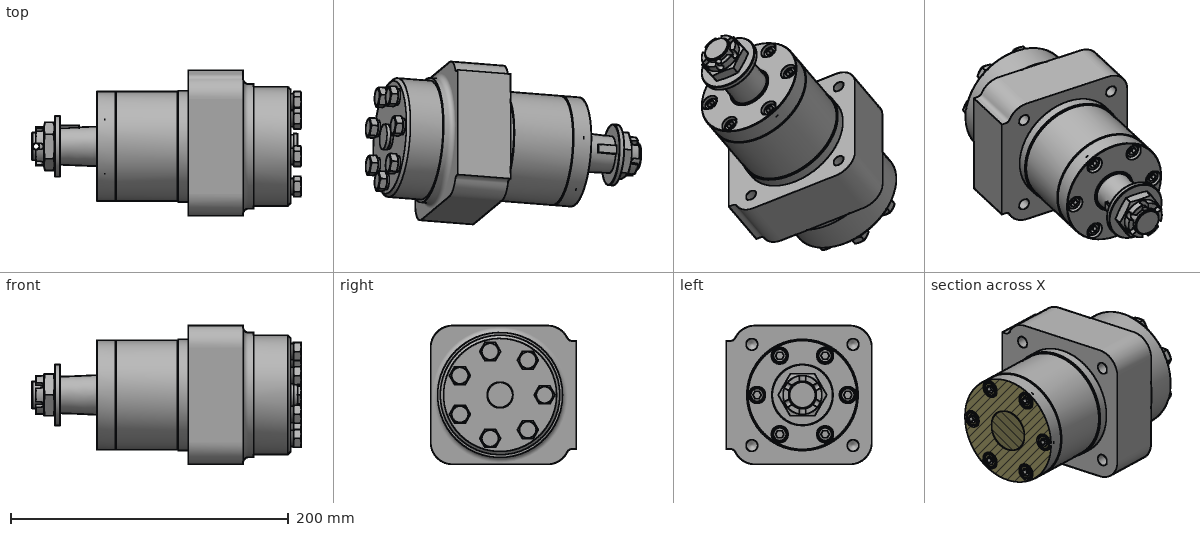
import cadquery as cq
import math


NUT_START = 3.1
NUT_HEX_START = 8.7
NUT_END = 16.7
WASHER_END = 20.5
TAPER_END = 44.5
HOUSING_START = 46.8
FRONT_GROOVE = 60.6
COLLAR_START = 105.5
FLANGE_START = 112.7
FLANGE_END = 152.3
NECK_START = 156.2
NECK_END = 159.9
HOUSING_END = 186.7
BOLT_HEX_START = 188.2
OVERALL_LENGTH = 194.3

SHAFT_D = 28.5
SHAFT_SMALL_D = 26.6
SHOULDER_D = 29.5
SHOULDER_SETBACK = 0.4
SHAFT_DEPTH = 13.6
THREAD_D = 20.0
TIP_CHAMFER = 0.8
COTTER_HOLE_D = 4.5
COTTER_HOLE_X = 3.3

KEY_WIDTH = 6.0
KEY_END = 34.2
KEY_BOTTOM_Y = 9.7
KEY_TOP_Y = 15.2

NUT_CORNER_D = 35.0
CASTLE_D = 28.0
NUT_CHAMFER = 1.0
SLOT_WIDTH = 4.5
SLOT_END = 8.5
SLOT_COUNT = 6
WASHER_D = 44.1
WASHER_CHAMFER = 0.4

BARREL_D = 79.0
BARREL_CHAMFER = 0.4
GROOVE_WIDTH = 0.5
GROOVE_DEPTH = 0.4
COLLAR_D = 80.2
SEAL_RECESS_D = 35.0
SEAL_RECESS_FLOOR_D = 31.5
SEAL_RECESS_SLOPE_DEPTH = 0.4
SEAL_RECESS_DEPTH = 1.0

NECK_ROOT_D = 97.1
NECK_D = 90.0
REAR_D = 86.0
REAR_CHAMFER = 2.3

FLANGE_SIZE = 100.0
FLANGE_CORNER_R = 16.0
PAD_Y = 55.0
PAD_WIDTH = 77.9
PAD_FILLET_R = 3.9
FLANGE_HOLE_D = 8.4
FLANGE_HOLE_DEPTH = 15.5
FLANGE_HOLE_CIRCLE_D = 103.0
DRILL_POINT_ANGLE = 118.0

SCREW_COUNT = 6
SCREW_CIRCLE_R = 32.6
SCREW_RECESS_D = 12.0
SCREW_RECESS_DEPTH = 5.8
SCREW_HEAD_D = 10.0
SCREW_HEAD_SETBACK = 1.7
SCREW_HEAD_CHAMFER = 0.4
SOCKET_ACROSS_FLATS = 5.2
SOCKET_DEPTH = 3.9

BOLT_COUNT = 7
BOLT_CIRCLE_R = 32.0
BOLT_ACROSS_FLATS = 13.0
BOLT_FACE_D = 11.9
BOLT_CHAMFER = 0.8
PLUG_NECK_D = 17.0
PLUG_D = 18.6
PLUG_END_D = 18.0
PLUG_HEAD_START = 188.6
PLUG_TAPER_START = 190.4
PLUG_END = 191.5

HEX_CORNER_RATIO = 1 / math.cos(math.radians(30))


def cylinder(x_start, x_end, diameter, y=0.0, z=0.0):
    """Cylinder along X."""
    return cq.Workplane("YZ", origin=(x_start, y, z)).circle(diameter / 2).extrude(x_end - x_start)


def hexagon(x_start, x_end, corner_diameter, y=0.0, z=0.0):
    """Hexagonal prism along X with corners toward +Y and -Y."""
    return cq.Workplane("YZ", origin=(x_start, y, z)).polygon(6, corner_diameter).extrude(x_end - x_start)


def turned(profile, y=0.0, z=0.0):
    """Solid of revolution from (x, diameter) stations."""
    outline = [(profile[0][0], 0)]
    outline += [(x, diameter / 2) for x, diameter in profile]
    if profile[-1][1] > 0:
        outline.append((profile[-1][0], 0))
    solid = cq.Workplane("XY").polyline(outline).close().revolve(360, (0, 0, 0), (1, 0, 0))
    return solid.translate((0, y, z))


def circle_places(count, radius, start_angle=0.0):
    """(y, z) places spread evenly on a circle around the axis, counted from +Y."""
    angles = [math.radians(start_angle + 360 / count * i) for i in range(count)]
    return [(radius * math.cos(a), radius * math.sin(a)) for a in angles]


def key_block():
    length = KEY_END - WASHER_END
    height = KEY_TOP_Y - KEY_BOTTOM_Y
    return (
        cq.Workplane("XY")
        .box(length, height, KEY_WIDTH, centered=(False, False, True))
        .translate((WASHER_END, KEY_BOTTOM_Y, 0))
    )


def make_shaft():
    body = turned([
        (0, THREAD_D - 2 * TIP_CHAMFER),
        (TIP_CHAMFER, THREAD_D),
        (WASHER_END, THREAD_D),
        (WASHER_END, SHAFT_SMALL_D),
        (TAPER_END, SHAFT_D),
        (HOUSING_START + SHOULDER_SETBACK, SHAFT_D),
        (HOUSING_START + SHOULDER_SETBACK, SHOULDER_D),
        (HOUSING_START + SHAFT_DEPTH, SHOULDER_D),
    ])
    cotter_hole = (
        cq.Workplane("XY")
        .center(COTTER_HOLE_X, 0)
        .circle(COTTER_HOLE_D / 2)
        .extrude(THREAD_D, both=True)
    )
    return body.cut(cotter_hole).cut(key_block())


def make_nut():
    envelope = turned([
        (NUT_HEX_START, CASTLE_D),
        (NUT_HEX_START + NUT_CHAMFER, NUT_CORNER_D),
        (NUT_END - NUT_CHAMFER, NUT_CORNER_D),
        (NUT_END, CASTLE_D),
    ])
    hex_part = hexagon(NUT_HEX_START, NUT_END, NUT_CORNER_D).intersect(envelope)
    nut = hex_part.union(cylinder(NUT_START, NUT_HEX_START, CASTLE_D))
    nut = nut.cut(cylinder(NUT_START, NUT_END, THREAD_D))
    slot_centre = SLOT_END - SLOT_WIDTH / 2
    slot = (
        cq.Workplane("XY")
        .moveTo(NUT_START, -SLOT_WIDTH / 2)
        .lineTo(slot_centre, -SLOT_WIDTH / 2)
        .threePointArc((SLOT_END, 0), (slot_centre, SLOT_WIDTH / 2))
        .lineTo(NUT_START, SLOT_WIDTH / 2)
        .close()
        .extrude(CASTLE_D)
    )
    for i in range(SLOT_COUNT):
        nut = nut.cut(slot.rotate((0, 0, 0), (1, 0, 0), 360 / SLOT_COUNT * i))
    return nut


def make_washer():
    disc = cylinder(NUT_END, WASHER_END, WASHER_D).edges().chamfer(WASHER_CHAMFER)
    return disc.cut(cylinder(NUT_END, WASHER_END, THREAD_D))


def flange():
    """Plate with four rounded corners and a pad on +Y, joined to two of them by hollow fillets."""
    half = FLANGE_SIZE / 2
    centre = half - FLANGE_CORNER_R
    half_pad = PAD_WIDTH / 2
    centre_distance = FLANGE_CORNER_R + PAD_FILLET_R
    fillet_z = half_pad + PAD_FILLET_R
    fillet_y = centre + math.sqrt(centre_distance**2 - (fillet_z - centre) ** 2)
    touch_ratio = FLANGE_CORNER_R / centre_distance
    touch_y = centre + touch_ratio * (fillet_y - centre)
    touch_z = centre + touch_ratio * (fillet_z - centre)
    upper_half = (
        cq.Workplane("YZ", origin=(FLANGE_START, 0, 0))
        .moveTo(-half, 0)
        .lineTo(-half, centre)
        .tangentArcPoint((-centre, half), relative=False)
        .lineTo(centre, half)
        .tangentArcPoint((touch_y, touch_z), relative=False)
        .tangentArcPoint((fillet_y, half_pad), relative=False)
        .lineTo(PAD_Y, half_pad)
        .lineTo(PAD_Y, 0)
        .close()
        .extrude(FLANGE_END - FLANGE_START)
    )
    return upper_half.union(upper_half.mirror("XY"))


def flange_hole(y, z):
    """Blind hole with a drill point, opening in the front face of the flange."""
    bottom = FLANGE_START + FLANGE_HOLE_DEPTH
    point = FLANGE_HOLE_D / 2 / math.tan(math.radians(DRILL_POINT_ANGLE / 2))
    return turned([(FLANGE_START, FLANGE_HOLE_D), (bottom, FLANGE_HOLE_D), (bottom + point, 0)], y, z)


def ring_groove(x_centre, diameter):
    start = x_centre - GROOVE_WIDTH / 2
    end = x_centre + GROOVE_WIDTH / 2
    return cylinder(start, end, diameter + 2).cut(cylinder(start, end, diameter - 2 * GROOVE_DEPTH))


def barrel():
    body = turned([
        (HOUSING_START, BARREL_D - 2 * BARREL_CHAMFER),
        (HOUSING_START + BARREL_CHAMFER, BARREL_D),
        (COLLAR_START, BARREL_D),
        (COLLAR_START, COLLAR_D),
        (FLANGE_START, COLLAR_D),
    ])
    body = body.cut(ring_groove(FRONT_GROOVE, BARREL_D))
    return body.cut(ring_groove(COLLAR_START - GROOVE_WIDTH / 2, BARREL_D))


def rear_end():
    """Turned stretch behind the flange, starting with a hollow flare."""
    bend = 1 - math.sqrt(0.5)
    flare_mid_x = FLANGE_END + bend * (NECK_START - FLANGE_END)
    flare_mid_r = (NECK_D + bend * (NECK_ROOT_D - NECK_D)) / 2
    return (
        cq.Workplane("XY")
        .moveTo(FLANGE_END, 0)
        .lineTo(FLANGE_END, NECK_ROOT_D / 2)
        .threePointArc((flare_mid_x, flare_mid_r), (NECK_START, NECK_D / 2))
        .lineTo(NECK_END, NECK_D / 2)
        .lineTo(NECK_END, REAR_D / 2)
        .lineTo(HOUSING_END - REAR_CHAMFER, REAR_D / 2)
        .lineTo(HOUSING_END, REAR_D / 2 - REAR_CHAMFER)
        .lineTo(HOUSING_END, 0)
        .close()
        .revolve(360, (0, 0, 0), (1, 0, 0))
    )


def screw_head(y, z):
    top = HOUSING_START + SCREW_HEAD_SETBACK
    head = turned([
        (top, SCREW_HEAD_D - 2 * SCREW_HEAD_CHAMFER),
        (top + SCREW_HEAD_CHAMFER, SCREW_HEAD_D),
        (HOUSING_START + SCREW_RECESS_DEPTH, SCREW_HEAD_D),
    ], y, z)
    return head.cut(hexagon(top, top + SOCKET_DEPTH, SOCKET_ACROSS_FLATS * HEX_CORNER_RATIO, y, z))


def screw_recess(y, z):
    return cylinder(HOUSING_START, HOUSING_START + SCREW_RECESS_DEPTH, SCREW_RECESS_D, y, z)


def bolt_head(y, z):
    corner_d = BOLT_ACROSS_FLATS * HEX_CORNER_RATIO
    envelope = turned([
        (BOLT_HEX_START, BOLT_FACE_D),
        (BOLT_HEX_START + BOLT_CHAMFER, corner_d),
        (OVERALL_LENGTH - BOLT_CHAMFER, corner_d),
        (OVERALL_LENGTH, BOLT_FACE_D),
    ], y, z)
    head = hexagon(BOLT_HEX_START, OVERALL_LENGTH, corner_d, y, z).intersect(envelope)
    return head.union(cylinder(HOUSING_END, BOLT_HEX_START, BOLT_FACE_D, y, z))


def plug():
    return turned([
        (HOUSING_END, PLUG_NECK_D),
        (PLUG_HEAD_START, PLUG_NECK_D),
        (PLUG_HEAD_START, PLUG_D),
        (PLUG_TAPER_START, PLUG_D),
        (PLUG_END, PLUG_END_D),
    ])


def make_housing():
    housing = flange().union(barrel()).union(rear_end()).union(plug())
    for y, z in circle_places(4, FLANGE_HOLE_CIRCLE_D / 2, 45):
        housing = housing.cut(flange_hole(y, z))
    for y, z in circle_places(SCREW_COUNT, SCREW_CIRCLE_R):
        housing = housing.cut(screw_recess(y, z)).union(screw_head(y, z))
    for y, z in circle_places(BOLT_COUNT, BOLT_CIRCLE_R):
        housing = housing.union(bolt_head(y, z))
    seal_recess = turned([
        (HOUSING_START, SEAL_RECESS_D),
        (HOUSING_START + SEAL_RECESS_SLOPE_DEPTH, SEAL_RECESS_FLOOR_D),
        (HOUSING_START + SEAL_RECESS_DEPTH, SEAL_RECESS_FLOOR_D),
    ])
    bore = cylinder(HOUSING_START, HOUSING_START + SHAFT_DEPTH, SHOULDER_D)
    return housing.cut(seal_recess).cut(bore)


housing = make_housing()
shaft = make_shaft()
key = key_block()
washer = make_washer()
nut = make_nut()

result = cq.Compound.makeCompound([
    housing.val(),
    shaft.val(),
    key.val(),
    washer.val(),
    nut.val(),
])